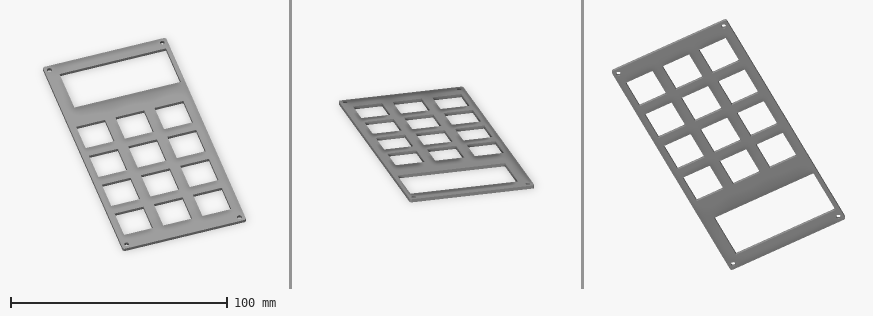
import cadquery as cq

length = 120.0
width = 60.0
thickness = 1.5
corner_radius = 1.0

hole_diameter = 2.2
hole_inset = 2.5

key_size = 14.0
key_pitch = 19.1
key_columns = 4
key_rows = 3
key_grid_center_x = 16.0
key_grid_center_y = -0.7

window_length = 22.1
window_width = 51.8
window_center_x = -42.5
window_center_y = 2.0


def make_plate():
    plate = cq.Workplane("XY").box(length, width, thickness, centered=(True, True, False))
    return plate.edges("|Z").fillet(corner_radius)


def cut_mounting_holes(plate):
    hole_spacing_x = length - 2 * hole_inset
    hole_spacing_y = width - 2 * hole_inset
    return (
        plate.faces(">Z").workplane(origin=(0, 0, thickness))
        .rarray(hole_spacing_x, hole_spacing_y, 2, 2)
        .hole(hole_diameter)
    )


def cut_key_openings(plate):
    cutters = (
        cq.Workplane("XY", origin=(key_grid_center_x, key_grid_center_y, 0))
        .rarray(key_pitch, key_pitch, key_columns, key_rows)
        .rect(key_size, key_size)
        .extrude(thickness)
    )
    return plate.cut(cutters)


def cut_window(plate):
    cutter = (
        cq.Workplane("XY", origin=(window_center_x, window_center_y, 0))
        .rect(window_length, window_width)
        .extrude(thickness)
    )
    return plate.cut(cutter)


result = cut_window(cut_key_openings(cut_mounting_holes(make_plate())))